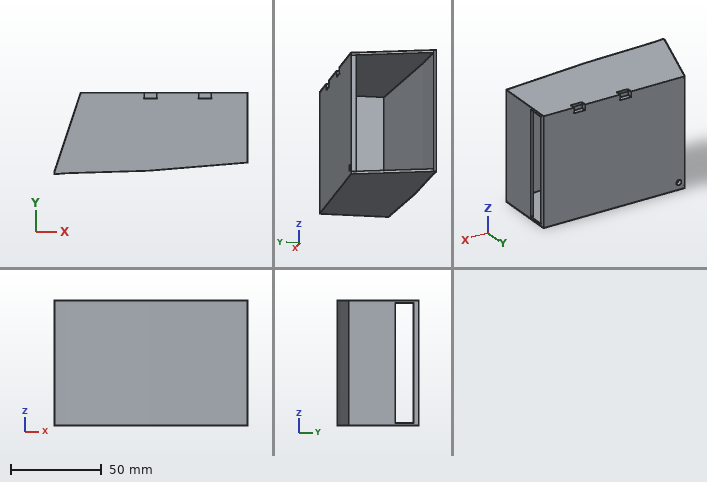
import cadquery as cq

LENGTH = 106.5
DEPTH = 45.1
HEIGHT = 69.0

PLATE = 1.5
LIP = 1.5
BACK_WALL = 3.0
END_WALL = 1.5

MOUTH_SETBACK = 14.5
LIP_BEND = (6.4, -44.5)
FRONT_BEND = (51.7, -43.15)
END_DEPTH = 38.6

INNER_BEND = (26.0, -42.3)
INNER_END_DEPTH = 35.8

END_OPENING = 10.0

FIRST_NOTCH = 49.5
NOTCH_SPACING = 30.0
NOTCH_COUNT = 2
NOTCH_WIDTH = 7.0
NOTCH_DEPTH = 3.5
NOTCH_DROP = 3.5

HOLE_DIAMETER = 3.2
HOLE_FROM_MOUTH = 3.8
HOLE_HEIGHT = 4.5

INNER_HEIGHT = HEIGHT - 2 * PLATE
INNER_END_X = LENGTH - END_WALL
LIP_INNER_Y = LIP - DEPTH


def make_body():
    """Solid block with the slanted mouth and the bent front wall."""
    outline = [
        (MOUTH_SETBACK, 0),
        (LENGTH, 0),
        (LENGTH, -END_DEPTH),
        FRONT_BEND,
        LIP_BEND,
        (0, -DEPTH),
        (0, LIP_INNER_Y),
    ]
    return cq.Workplane("XY").polyline(outline).close().extrude(HEIGHT)


def make_cavity():
    """Inside space between the plates; it runs out through the mouth and squares off the back wall."""
    outline = [
        (0, 0),
        (MOUTH_SETBACK, 0),
        (MOUTH_SETBACK, -BACK_WALL),
        (INNER_END_X, -BACK_WALL),
        (INNER_END_X, -INNER_END_DEPTH),
        INNER_BEND,
        (0, LIP_INNER_Y),
    ]
    return cq.Workplane("XY", origin=(0, 0, PLATE)).polyline(outline).close().extrude(INNER_HEIGHT)


def make_end_opening():
    """Window in the end wall beside the back wall, as high as the cavity."""
    return (
        cq.Workplane("XY", origin=(INNER_END_X, -BACK_WALL, PLATE))
        .rect(END_WALL, -END_OPENING, centered=False)
        .extrude(INNER_HEIGHT)
    )


def make_notch(start_x):
    """Rectangular notch in the upper back edge, beginning at start_x."""
    return (
        cq.Workplane("XY", origin=(start_x, 0, HEIGHT - NOTCH_DROP))
        .rect(NOTCH_WIDTH, -NOTCH_DEPTH, centered=False)
        .extrude(NOTCH_DROP)
    )


def make_screw_hole():
    """Round hole through the back wall near the mouth."""
    return (
        cq.Workplane("XZ", origin=(MOUTH_SETBACK + HOLE_FROM_MOUTH, 0, HOLE_HEIGHT))
        .circle(HOLE_DIAMETER / 2)
        .extrude(BACK_WALL)
    )


result = make_body().cut(make_cavity()).cut(make_end_opening()).cut(make_screw_hole())
for index in range(NOTCH_COUNT):
    result = result.cut(make_notch(FIRST_NOTCH + index * NOTCH_SPACING))